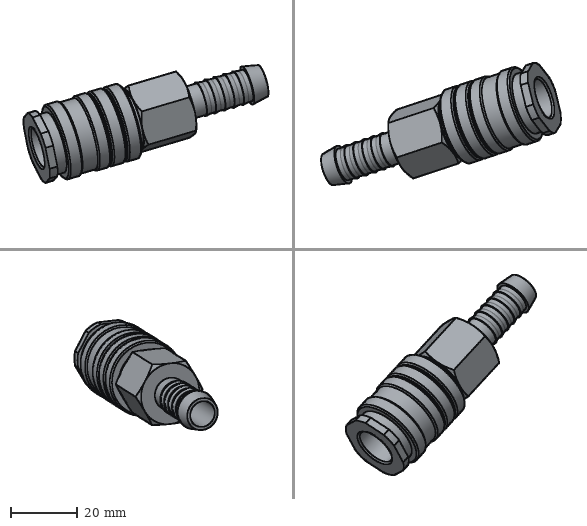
import cadquery as cq
import math


length = 73.0
collar_end = 2.5
sleeve_start = 6.0
sleeve_end = 29.6
hex_start = 31.0
hex_end = 48.0
barb_start = 53.0
head_start = 68.0

collar_radius = 11.05
collar_flats = 21.0
front_neck_radius = 9.5
rear_neck_radius = 9.0

ring_radius = 11.75
sleeve_core_radius = 11.25
ring_chamfer = ring_radius - sleeve_core_radius
rings = [(sleeve_start, 10.5), (15.4, 19.6), (20.1, 24.6), (25.1, sleeve_end)]

hex_flats = 19.0
hex_chamfer_angle = 30.0

tail_radius = 5.0
barb_radius = 5.35
barb_length = 1.5
barb_pitch = 3.0
barb_count = 5
head_radius = 6.0

through_radius = 4.0
mouth_radius = 6.1
mouth_chamfer = 0.55
mouth_depth = sleeve_end

sides = 6
half_side_angle = math.radians(180 / sides)


def cone(start, end, start_radius, end_radius):
    """Solid of revolution about Y whose radius changes evenly from start to end."""
    profile = [(0, start), (start_radius, start), (end_radius, end), (0, end)]
    return cq.Workplane("XY").polyline(profile).close().revolve(360, (0, 0, 0), (0, 1, 0))


def cylinder(start, end, radius):
    return cone(start, end, radius, radius)


def hex_prism(start, end, across_flats):
    """Hexagonal bar along Y with corners on the X axis and flats facing +Z and -Z."""
    across_corners = across_flats / math.cos(half_side_angle)
    bar = cq.Workplane("XZ", origin=(0, start, 0)).polygon(sides, across_corners)
    return bar.extrude(start - end)


def make_collar():
    """Round collar with six shallow flats."""
    flats = hex_prism(0, collar_end, collar_flats)
    return cylinder(0, collar_end, collar_radius).intersect(flats)


def make_sleeve():
    """Core with raised rings whose edge chamfers run down to the core surface."""
    sleeve = cylinder(sleeve_start, sleeve_end, sleeve_core_radius)
    for start, end in rings:
        sleeve = sleeve.union(cylinder(start, end, ring_radius).edges().chamfer(ring_chamfer))
    return sleeve


def make_hex():
    """Hexagon with its corners turned down at both ends to the inscribed circle."""
    inscribed_radius = hex_flats / 2
    half_length = (hex_end - hex_start) / 2
    bulge_radius = inscribed_radius + half_length / math.tan(math.radians(hex_chamfer_angle))
    middle = hex_start + half_length
    turned = cone(hex_start, middle, inscribed_radius, bulge_radius)
    turned = turned.union(cone(middle, hex_end, bulge_radius, inscribed_radius))
    return hex_prism(hex_start, hex_end, hex_flats).intersect(turned)


def make_tail():
    """Hose tail with five small barbs and a tapered head; all taper towards the hose end."""
    tail = cylinder(hex_end, length, tail_radius)
    for i in range(barb_count):
        start = barb_start + i * barb_pitch
        tail = tail.union(cone(start, start + barb_length, barb_radius, tail_radius))
    return tail.union(cone(head_start, length, head_radius, tail_radius))


def make_bore():
    """Through bore with a wider, chamfered mouth."""
    bore = cylinder(0, length, through_radius)
    bore = bore.union(cylinder(0, mouth_depth, mouth_radius))
    return bore.union(cone(0, mouth_chamfer, mouth_radius + mouth_chamfer, mouth_radius))


body = make_collar()
body = body.union(cylinder(collar_end, sleeve_start, front_neck_radius))
body = body.union(make_sleeve())
body = body.union(cylinder(sleeve_end, hex_start, rear_neck_radius))
body = body.union(make_hex())
body = body.union(make_tail())
result = body.cut(make_bore())